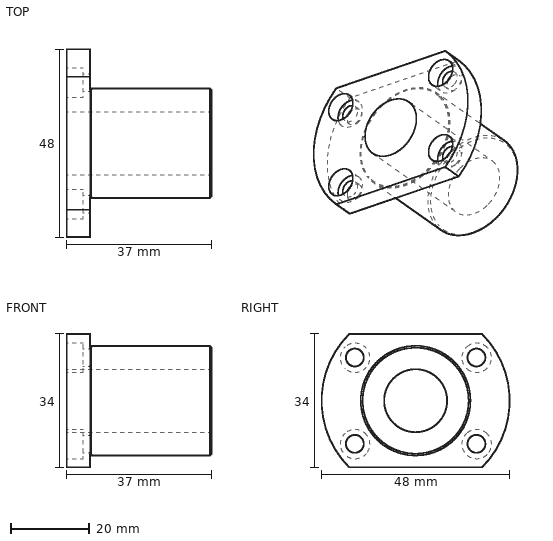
import cadquery as cq

flange_diameter = 48.0
flange_thickness = 6.0
flange_height = 34.0

total_length = 37.0
body_diameter = 28.0
end_chamfer = 0.5
bore_diameter = 16.0

relief_diameter = 27.4
relief_width = 0.3

hole_spacing_y = 31.0
hole_spacing_z = 22.0
hole_diameter = 4.5
counterbore_diameter = 7.5
counterbore_depth = 4.1

hole_z = hole_spacing_z / 2
hole_y = hole_spacing_y / 2


def cylinder_x(diameter, start, length):
    """Solid cylinder on the X axis, from X = start."""
    return cq.Workplane("YZ", origin=(start, 0, 0)).circle(diameter / 2).extrude(length)


def make_flange():
    disc = cylinder_x(flange_diameter, 0, flange_thickness)
    slab = cq.Workplane("YZ").rect(flange_diameter, flange_height).extrude(flange_thickness)
    return disc.intersect(slab)


def make_body():
    relief = cylinder_x(relief_diameter, flange_thickness, relief_width)
    body_start = flange_thickness + relief_width
    barrel = cylinder_x(body_diameter, body_start, total_length - body_start)
    barrel = barrel.faces(">X").edges().chamfer(end_chamfer)
    return relief.union(barrel)


def make_mounting_holes():
    centres = [(y, z) for y in (-hole_y, hole_y) for z in (-hole_z, hole_z)]
    through_holes = (
        cq.Workplane("YZ").pushPoints(centres).circle(hole_diameter / 2).extrude(flange_thickness)
    )
    counterbores = (
        cq.Workplane("YZ").pushPoints(centres).circle(counterbore_diameter / 2).extrude(counterbore_depth)
    )
    return through_holes.union(counterbores)


bore = cylinder_x(bore_diameter, 0, total_length)
result = make_flange().union(make_body()).cut(bore).cut(make_mounting_holes())